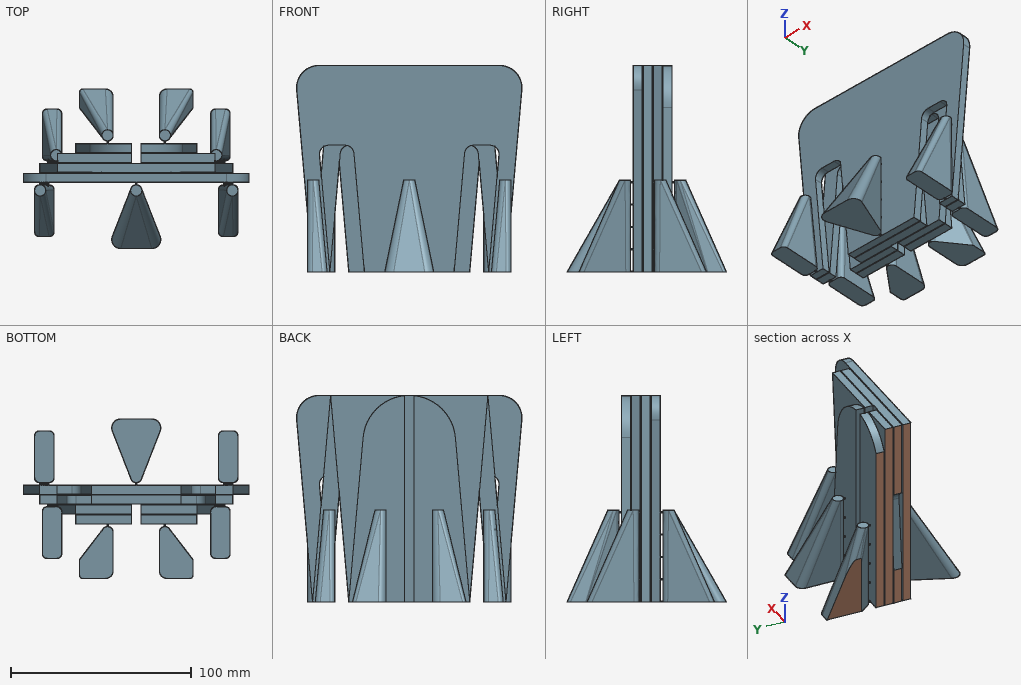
import cadquery as cq
import math

WIDTH = 124.6
HEIGHT = 114.2
THICKNESS = 5.0
GAP = 0.5
PITCH = THICKNESS + GAP
SKIN = 0.45
LEAN_ANGLE = math.radians(5)
LEAN = math.tan(LEAN_ANGLE)
DRIFT = LEAN * HEIGHT

SHOULDER_RADIUS = 12.5
SHOULDER_X = WIDTH / 2 - SHOULDER_RADIUS
SHOULDER_Z = HEIGHT - SHOULDER_RADIUS

FOOT_HALF = SHOULDER_X + SHOULDER_RADIUS / math.cos(LEAN_ANGLE) - LEAN * SHOULDER_Z
LAYER_1_TOP_HALF = FOOT_HALF + DRIFT
FOLD_HALF = FOOT_HALF - DRIFT
BACK_FOOT_HALF = FOLD_HALF - DRIFT

SLOT_INNER = 24.8
SLOT_OUTER = 43.9
SLOT_HEIGHT = 70.1
SLOT_RADIUS = 5.0
SPLIT_WIDTH = 5.0

SUPPORT_HEIGHT = 50.8
TIP_RADIUS = 3.1
SUPPORT_GAP = 1.4
TIP_OFFSET = SUPPORT_GAP + TIP_RADIUS
PIN_COUNT = 5
PIN_SPACING = 12.3
PIN_WIDTH = 0.7
PIN_HEIGHT = 0.6

SIDE_BASE_WIDTH = 10.8
SIDE_BASE_REACH = 30.0
SIDE_CORNER_RADIUS = 2.7
LEG_MIDDLE = (SLOT_OUTER + FOOT_HALF) / 2
TIP_SHIFT = LEAN * SUPPORT_HEIGHT

CENTRE_BASE_HALF = 13.6
CENTRE_BASE_REACH = 36.6
CENTRE_CORNER_RADIUS = 5.0

BACK_TIP_X = 15.8
BACK_BASE_WIDTH = 18.7
BACK_BASE_REACH = 30.2
BACK_INNER_RADIUS = 4.4
BACK_OUTER_RADIUS = 1.9
BACK_ELBOW_REACH = 19.8
BACK_ELBOW_RADIUS = 0.5


def slab(points, depth):
    """Extrude an outline in the XZ plane from y = 0 to y = depth."""
    return cq.Workplane("XZ").polyline(points).close().extrude(-depth)


def trapezoid(bottom_half, top_half, depth):
    return slab(
        [(-bottom_half, 0), (bottom_half, 0), (top_half, HEIGHT), (-top_half, HEIGHT)], depth
    )


def leg_slots(drift_sign):
    """The two slanted slots that separate three legs; drift_sign +1 leans them outwards."""
    shift = drift_sign * LEAN * SLOT_HEIGHT
    slot = slab(
        [
            (SLOT_INNER, 0),
            (SLOT_OUTER, 0),
            (SLOT_OUTER + shift, SLOT_HEIGHT),
            (SLOT_INNER + shift, SLOT_HEIGHT),
        ],
        THICKNESS,
    )
    slot = slot.edges("|Y").edges(">Z").fillet(SLOT_RADIUS)
    return slot.union(slot.mirror("YZ"))


def split_cutter(depth):
    """Gap that parts a layer into a left and a right half."""
    return cq.Workplane("XY").box(SPLIT_WIDTH, depth, HEIGHT, centered=(True, False, False))


def layer_1(depth):
    plate = trapezoid(FOOT_HALF, LAYER_1_TOP_HALF, depth)
    plate = plate.edges("|Y").edges(">Z").fillet(SHOULDER_RADIUS)
    return plate.cut(leg_slots(1))


def layer_2(depth):
    return trapezoid(FOOT_HALF, FOLD_HALF, depth).cut(leg_slots(-1))


def layer_3(depth):
    return trapezoid(BACK_FOOT_HALF, FOLD_HALF, depth).cut(split_cutter(depth))


def layer_4(depth):
    """Layer with an arched top: one arc that is tangent to both sides and to the top."""
    cos = math.cos(LEAN_ANGLE)
    sin = math.sin(LEAN_ANGLE)
    radius = (BACK_FOOT_HALF - DRIFT) * cos / (1 - sin)
    spring_x = radius * cos
    spring_z = HEIGHT - radius + radius * sin
    plate = (
        cq.Workplane("XZ")
        .moveTo(-BACK_FOOT_HALF, 0)
        .lineTo(BACK_FOOT_HALF, 0)
        .lineTo(spring_x, spring_z)
        .threePointArc((0, HEIGHT), (-spring_x, spring_z))
        .close()
        .extrude(-depth)
    )
    return plate.cut(split_cutter(depth))


def band(bottom):
    """Full-width strip, one skin high, that limits a joint between two layers."""
    size = 2 * LAYER_1_TOP_HALF
    return (
        cq.Workplane("XY")
        .box(size, GAP, SKIN, centered=(True, False, False))
        .translate((0, 0, bottom))
    )


def folded_plate():
    """Four layers joined in turn at the bottom, at the top and at the bottom."""
    layers = [layer_1, layer_2, layer_3, layer_4]
    joint_outlines = [layer_1, layer_3, layer_4]
    joint_bottoms = [0, HEIGHT - SKIN, 0]
    body = layer_1(THICKNESS)
    for index in range(1, len(layers)):
        front = index * PITCH
        joint = joint_outlines[index - 1](GAP).intersect(band(joint_bottoms[index - 1]))
        body = body.union(joint.translate((0, front - GAP, 0)))
        body = body.union(layers[index](THICKNESS).translate((0, front, 0)))
    return body


def direction(angle):
    return cq.Vector(math.cos(angle), math.sin(angle), 0)


def edge_normals(corners):
    """Outward angle of the line from each corner circle to the next, counter-clockwise."""
    angles = []
    for (x1, y1, r1), (x2, y2, r2) in zip(corners, corners[1:] + corners[:1]):
        along = math.atan2(y2 - y1, x2 - x1)
        tilt = math.asin((r1 - r2) / math.hypot(x2 - x1, y2 - y1))
        angles.append(along - math.pi / 2 + tilt)
    return angles


def arc(centre, radius, start, end):
    middle = (start + end) / 2
    points = [centre + direction(angle) * radius for angle in (start, middle, end)]
    return cq.Edge.makeThreePointArc(*points)


def tapered_body(corners, tip_x):
    """Hull of a base with rounded corners (x, y, radius) and a round tip above it."""
    tip = cq.Vector(tip_x, TIP_OFFSET, SUPPORT_HEIGHT)
    normals = edge_normals(corners)
    base_edges = []
    tip_edges = []
    sides = []
    for index, (x, y, radius) in enumerate(corners):
        start = normals[index - 1]
        end = start + (normals[index] - start) % (2 * math.pi)
        base_arc = arc(cq.Vector(x, y, 0), radius, start, end)
        tip_arc = arc(tip, TIP_RADIUS, start, end)
        next_x, next_y, next_radius = corners[(index + 1) % len(corners)]
        line_end = cq.Vector(next_x, next_y, 0) + direction(end) * next_radius
        base_line = cq.Edge.makeLine(base_arc.endPoint(), line_end)
        triangle = cq.Wire.makePolygon(
            [base_arc.endPoint(), line_end, tip_arc.endPoint()], close=True
        )
        base_edges += [base_arc, base_line]
        tip_edges.append(tip_arc)
        sides += [cq.Face.makeRuledSurface(base_arc, tip_arc), cq.Face.makeFromWires(triangle)]
    base = cq.Face.makeFromWires(cq.Wire.assembleEdges(base_edges))
    top = cq.Face.makeFromWires(cq.Wire.assembleEdges(tip_edges))
    solid = cq.Solid.makeSolid(cq.Shell.makeShell([base, top, *sides]))
    return cq.Workplane("XY").newObject([solid.fix()])


def add_pins(body, pin_x, pin_drift):
    """Thin pins from the plate face at y = 0 into the support, drifting sideways with height."""
    for index in range(PIN_COUNT):
        z = index * PIN_SPACING
        pin = cq.Workplane("XY").box(
            PIN_WIDTH, TIP_OFFSET, PIN_HEIGHT, centered=(True, False, False)
        )
        body = body.union(pin.translate((pin_x + pin_drift * z, 0, z)))
    return body


def support_centre():
    """Support of the middle leg of layer 1."""
    far_x = CENTRE_BASE_HALF - CENTRE_CORNER_RADIUS
    far_y = CENTRE_BASE_REACH - CENTRE_CORNER_RADIUS
    corners = [
        (0, TIP_OFFSET, TIP_RADIUS),
        (far_x, far_y, CENTRE_CORNER_RADIUS),
        (-far_x, far_y, CENTRE_CORNER_RADIUS),
    ]
    return add_pins(tapered_body(corners, 0), 0, 0)


def support_side(drift_sign):
    """Support of a right-hand outer leg, which leans outwards for drift_sign +1."""
    tip_x = LEG_MIDDLE + drift_sign * TIP_SHIFT
    flush_x = tip_x + drift_sign * TIP_RADIUS
    free_x = flush_x - drift_sign * SIDE_BASE_WIDTH
    left = min(flush_x, free_x) + SIDE_CORNER_RADIUS
    right = max(flush_x, free_x) - SIDE_CORNER_RADIUS
    near = SUPPORT_GAP + SIDE_CORNER_RADIUS
    far = SIDE_BASE_REACH - SIDE_CORNER_RADIUS
    corners = [
        (x, y, SIDE_CORNER_RADIUS)
        for x, y in [(left, near), (right, near), (right, far), (left, far)]
    ]
    return add_pins(tapered_body(corners, tip_x), LEG_MIDDLE, drift_sign * LEAN)


def support_back():
    """Support of the right-hand half of layer 4."""
    inner = BACK_TIP_X - TIP_RADIUS
    outer = inner + BACK_BASE_WIDTH
    corners = [
        (BACK_TIP_X, TIP_OFFSET, TIP_RADIUS),
        (outer - BACK_ELBOW_RADIUS, BACK_ELBOW_REACH, BACK_ELBOW_RADIUS),
        (outer - BACK_OUTER_RADIUS, BACK_BASE_REACH - BACK_OUTER_RADIUS, BACK_OUTER_RADIUS),
        (inner + BACK_INNER_RADIUS, BACK_BASE_REACH - BACK_INNER_RADIUS, BACK_INNER_RADIUS),
    ]
    return add_pins(tapered_body(corners, BACK_TIP_X), BACK_TIP_X, 0)


frame = folded_plate()

layer_2_back = PITCH + THICKNESS
layer_4_back = 3 * PITCH + THICKNESS
right_supports = [
    support_side(1).mirror("XZ"),
    support_side(-1).translate((0, layer_2_back, 0)),
    support_back().translate((0, layer_4_back, 0)),
]
supports = [support_centre().mirror("XZ")]
for support in right_supports:
    supports += [support, support.mirror("YZ")]

support_solids = [support.solids().val() for support in supports]
result = cq.Compound.makeCompound([frame.solids().val(), *support_solids])